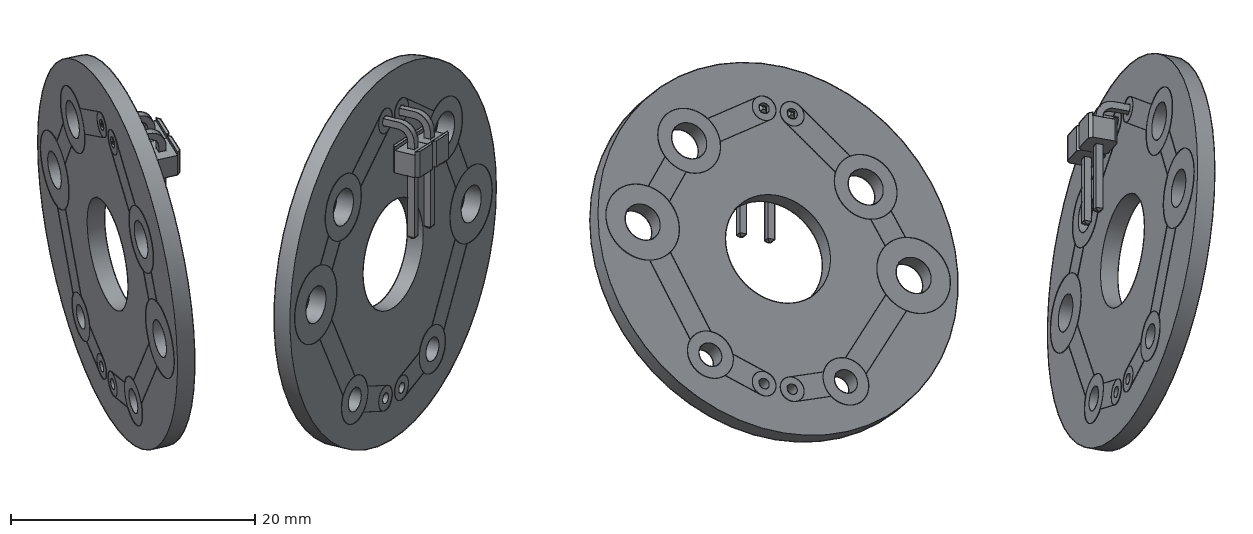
import cadquery as cq
import math

BOARD_DIAMETER = 32.77
BOARD_THICKNESS = 1.55
CENTER_HOLE_DIAMETER = 9.55

PAD_THICKNESS = 0.035
TRACE_THICKNESS = 0.03

RING_RADIUS = 12.32
LOWER_SPOT_ANGLE = math.radians(60)
LOWER_SPOT_X = RING_RADIUS * math.cos(LOWER_SPOT_ANGLE)
LOWER_SPOT_Z = -RING_RADIUS * math.sin(LOWER_SPOT_ANGLE)
UPPER_LEFT_SPOT = (-8.1, 8.1)
UPPER_RIGHT_SPOT = (7.95, 7.08)
PIN_PITCH = 2.55
PIN_X_POSITIONS = (-PIN_PITCH / 2, PIN_PITCH / 2)

SIDE_PAD_DIAMETER = 6.7
UPPER_PAD_DIAMETER = 5.7
LARGE_HOLE_DIAMETER = 3.18
LOWER_PAD_DIAMETER = 4.15
LOWER_HOLE_DIAMETER = 2.05
PIN_PAD_DIAMETER = 2.15
PIN_HOLE_DIAMETER = 0.92
TRACE_WIDTH = PIN_PAD_DIAMETER

HEADER_Y = 4.2
BLOCK_SIZE = PIN_PITCH
BLOCK_CHAMFER = 0.3
BLOCK_BOTTOM_Z = 8.52
BLOCK_HEIGHT = 2.3
CHANNEL_DEPTH = 0.3
PIN_WIDTH = 0.62
PIN_BEND_RADIUS = 1.25
PIN_BOTTOM_Z = 2.5
PIN_TIP_TAPER = 0.2


def spot(x, z, pad_diameter, hole_diameter):
    return {"at": (x, z), "pad": pad_diameter, "hole": hole_diameter}


def spot_chain(side, upper_spot):
    """Spots down one half of the board, from its upper pin to its lower pin hole; side is -1 or 1."""
    pin_x = side * PIN_PITCH / 2
    return [
        spot(pin_x, RING_RADIUS, PIN_PAD_DIAMETER, PIN_HOLE_DIAMETER),
        spot(*upper_spot, UPPER_PAD_DIAMETER, LARGE_HOLE_DIAMETER),
        spot(side * RING_RADIUS, 0, SIDE_PAD_DIAMETER, LARGE_HOLE_DIAMETER),
        spot(side * LOWER_SPOT_X, LOWER_SPOT_Z, LOWER_PAD_DIAMETER, LOWER_HOLE_DIAMETER),
        spot(pin_x, -RING_RADIUS, PIN_PAD_DIAMETER, PIN_HOLE_DIAMETER),
    ]


def layer_through_board(projection):
    """Workplane whose +Z runs to +Y, and the depth of a layer that stands proud of both faces."""
    plane = cq.Plane(origin=(0, -projection, 0), xDir=(-1, 0, 0), normal=(0, 1, 0))
    return cq.Workplane(plane), BOARD_THICKNESS + 2 * projection


def disc(center, diameter, projection=0.0):
    """Round slug through the board that stands proud of both faces by the projection."""
    workplane, depth = layer_through_board(projection)
    x, z = center
    return workplane.center(-x, z).circle(diameter / 2).extrude(depth)


def trace(start, end):
    """Straight trace between two spot centers, on both faces of the board."""
    workplane, depth = layer_through_board(TRACE_THICKNESS)
    run_x = end[0] - start[0]
    run_z = end[1] - start[1]
    return (
        workplane.center(-(start[0] + end[0]) / 2, (start[1] + end[1]) / 2)
        .transformed(rotate=(0, 0, math.degrees(math.atan2(run_z, -run_x))))
        .rect(math.hypot(run_x, run_z), TRACE_WIDTH)
        .extrude(depth)
    )


def make_board():
    chains = [spot_chain(-1, UPPER_LEFT_SPOT), spot_chain(1, UPPER_RIGHT_SPOT)]
    board = disc((0, 0), BOARD_DIAMETER)
    for chain in chains:
        for upper, lower in zip(chain, chain[1:]):
            board = board.union(trace(upper["at"], lower["at"]))
        for place in chain:
            board = board.union(disc(place["at"], place["pad"], PAD_THICKNESS))
    board = board.cut(disc((0, 0), CENTER_HOLE_DIAMETER))
    for chain in chains:
        for place in chain:
            board = board.cut(disc(place["at"], place["hole"], PAD_THICKNESS))
    return board


def make_block(x):
    """Octagonal insulator with a channel across its top and a square hole for its pin."""
    block = (
        cq.Workplane("XY", origin=(x, HEADER_Y, BLOCK_BOTTOM_Z))
        .rect(BLOCK_SIZE, BLOCK_SIZE)
        .extrude(BLOCK_HEIGHT)
        .edges("|Z")
        .chamfer(BLOCK_CHAMFER)
    )
    channel = (
        cq.Workplane("XY", origin=(x, HEADER_Y, BLOCK_BOTTOM_Z + BLOCK_HEIGHT - CHANNEL_DEPTH))
        .rect(BLOCK_SIZE, BLOCK_SIZE - 2 * BLOCK_CHAMFER)
        .extrude(CHANNEL_DEPTH)
    )
    pin_hole = (
        cq.Workplane("XY", origin=(x, HEADER_Y, BLOCK_BOTTOM_Z))
        .rect(PIN_WIDTH, PIN_WIDTH)
        .extrude(BLOCK_HEIGHT)
    )
    return block.cut(channel).cut(pin_hole)


def make_pin(x):
    """Square pin that rises through its block and bends toward -Y into the board."""
    bend_start_z = RING_RADIUS - PIN_BEND_RADIUS
    bend_end_y = HEADER_Y - PIN_BEND_RADIUS
    path = (
        cq.Workplane("YZ", origin=(x, 0, 0))
        .moveTo(HEADER_Y, PIN_BOTTOM_Z)
        .lineTo(HEADER_Y, bend_start_z)
        .radiusArc((bend_end_y, RING_RADIUS), -PIN_BEND_RADIUS)
        .lineTo(-PAD_THICKNESS, RING_RADIUS)
    )
    pin = (
        cq.Workplane("XY", origin=(x, HEADER_Y, PIN_BOTTOM_Z))
        .rect(PIN_WIDTH, PIN_WIDTH)
        .sweep(path)
    )
    return pin.faces("<Z or <Y").chamfer(PIN_TIP_TAPER)


board = make_board()
blocks = [make_block(x) for x in PIN_X_POSITIONS]
pins = [make_pin(x) for x in PIN_X_POSITIONS]

result = cq.Compound.makeCompound(
    [board.val(), *[block.val() for block in blocks], *[pin.val() for pin in pins]]
)